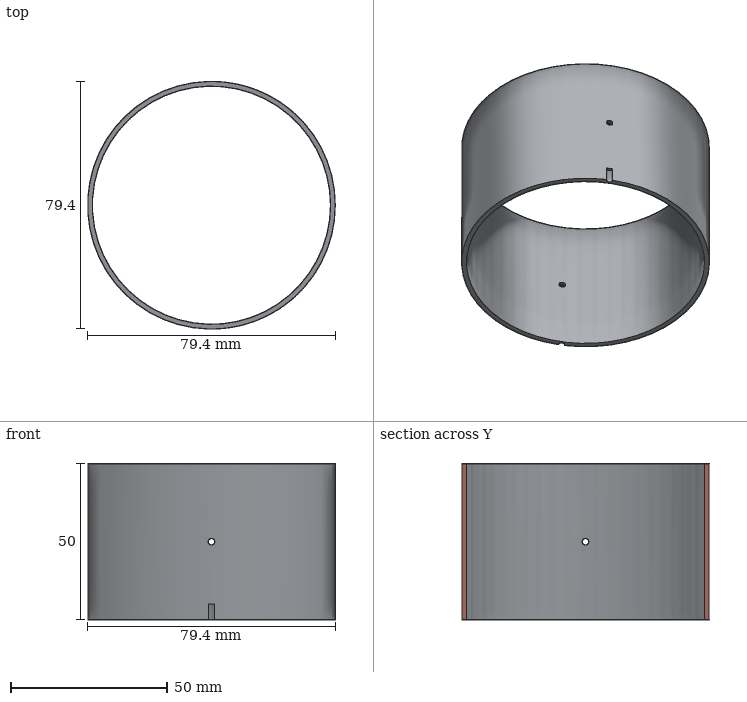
import cadquery as cq

outer_diameter = 79.38
inner_diameter = 76.2
height = 50.0

hole_diameter = 2.0
hole_height = height / 2

groove_diameter = hole_diameter
groove_length = 5.0

outer_radius = outer_diameter / 2


def make_tube():
    """Plain tube standing on the XY plane, centred on Z."""
    return cq.Workplane("XY").circle(outer_radius).circle(inner_diameter / 2).extrude(height)


def make_cross_hole():
    """Cutter along Y that pierces the front and back walls at mid height."""
    return (
        cq.Workplane("XZ")
        .center(0, hole_height)
        .circle(hole_diameter / 2)
        .extrude(outer_radius + hole_diameter, both=True)
    )


def make_grooves():
    """Vertical cutters centred on the outer surface, one below each end of the cross hole."""
    return (
        cq.Workplane("XY")
        .pushPoints([(0, side * outer_radius) for side in (-1, 1)])
        .circle(groove_diameter / 2)
        .extrude(groove_length)
    )


result = make_tube().cut(make_cross_hole()).cut(make_grooves())